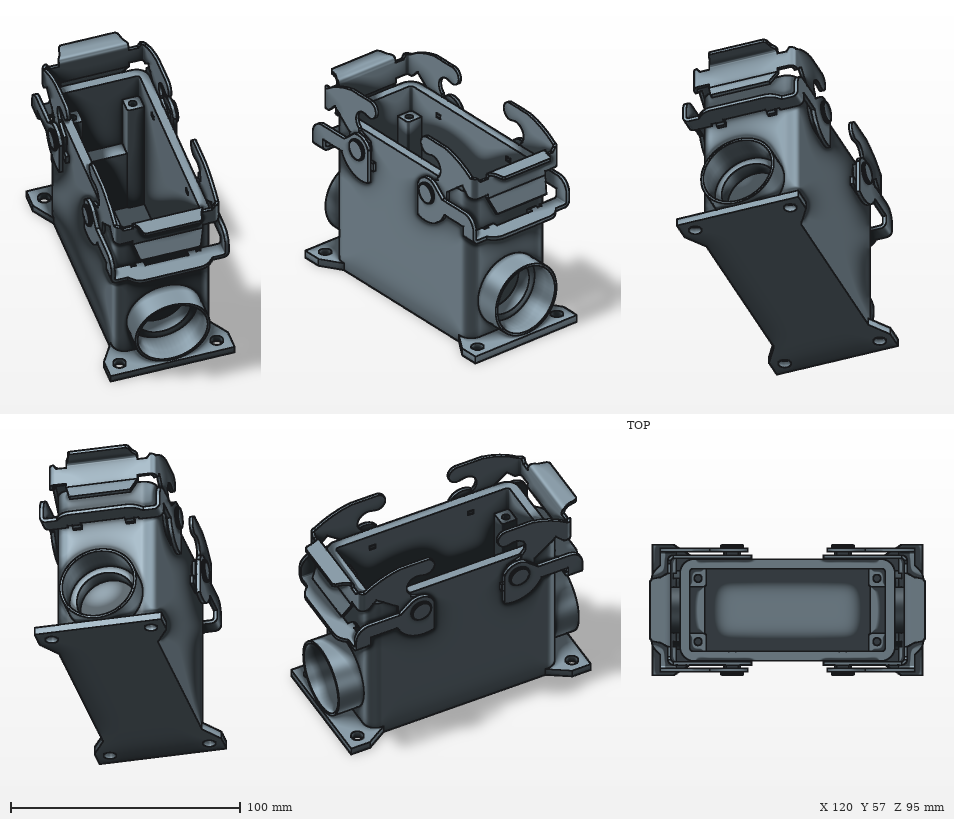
import cadquery as cq
import math

body_length = 93.6
body_width = 44.4
body_height = 77.3
body_corner_radius = 6.0
wall = 4.2
cavity_corner_radius = 1.4
floor_thickness = 3.5

foot_end = 58.9
foot_width = 57.0
foot_half_width = foot_width / 2
foot_thickness = floor_thickness
foot_taper_start = 49.7
foot_taper_end = 39.7
foot_hole_x = 52.7
foot_hole_y = 22.3
foot_hole_diameter = 5.6

entry_height = 21.8
entry_radius = 17.2
entry_bore_radius = 16.1
entry_ledge_x = 45.0
knockout_radius = 13.0
knockout_wall = 1.8
boss_inner_x = 36.0
boss_height = 37.2

post_inner_x = 35.4
post_inner_y = 10.2
post_height = 64.7
post_edge_radius = 1.2
post_hole_x = 39.0
post_hole_y = 13.8
post_hole_diameter = 3.4
post_hole_depth = 12.0

pin_x = 24.1
pin_z = 70.1
pin_head_radius = 4.9
pin_head_chamfer = 0.5
collar_radius = 3.6
collar_flat_height = 5.0
wall_pocket_length = 2.9
wall_pocket_height = 1.9
wall_pocket_depth = 0.5

hook_sheet = 1.4
hook_half_width = 24.0
hook_end = 52.3
hook_bend_radius = 2.8
hook_shoulder_x = 49.8
hook_top = 95.0
hook_end_top = 87.7
hook_end_bottom = 77.7
hook_notch_x = 44.1
hook_notch_top = 81.7
hook_stem_x = 33.5
hook_stem_top = 73.4
hook_crown_x = 32.4
hook_back_x = 43.8
hook_back_z = 91.3
hook_tip_radius = 4.2
hook_tip_x = 19.8
hook_mouth_x = 24.0
hook_mouth_z = 82.2
hook_mouth_radius = 5.3
hook_mouth_start_angle = 68
hook_mouth_end_angle = 232
hook_neck_z = 76.5
hook_stop_x = 17.3
hook_stop_height = 4.0

saddle_z = 85.7
saddle_top_half_width = 21.7
saddle_half_width = 20.3
flap_end = 60.0
flap_top = 89.0
flap_bend_radius = 2.9
flap_end_half_width = 12.6
flap_side_x = 59.0
flap_side_half_width = 13.5
flap_neck_x = 55.2
flap_neck_half_width = 14.4
flap_root_half_width = 16.0
spring_top = 75.8
spring_reach = 8.0
spring_angle = 28
spring_top_half_width = 16.1
spring_bottom_half_width = 13.5

yoke_sheet = 1.7
yoke_half_width = 27.0
yoke_bend_radius = 2.8
yoke_bottom = 57.7
yoke_arm_end = 55.5
yoke_arm_inner = 48.5
yoke_arm_top = 70.9
yoke_arm_bottom = 64.0
yoke_elbow_radius = 6.5
yoke_shoulder_x = 33.8
yoke_disc_radius = 7.1
yoke_disc_start_angle = 122
yoke_disc_end_angle = 18
yoke_plate_x = 17.3
yoke_plate_corner_z = 55.9
yoke_plate_low_x = 22.0
yoke_plate_low_z = 55.1
yoke_plate_root_x = 35.5
yoke_bar_end = 59.4
yoke_bar_start_y = 19.4
yoke_bar_full_y = 15.8
yoke_bar_corner_radius = 7.2
yoke_recess_x = 51.0
yoke_tab_inner_y = 10.0
yoke_tab_outer_y = 13.8
yoke_tab_end = 47.0
yoke_tab_bottom = 56.9
yoke_tab_sheet = 1.2
relief_width = 2.2
relief_depth = 1.4

reach = 120.0


def polar(center_x, center_z, radius, degrees):
    angle = math.radians(degrees)
    return center_x + radius * math.cos(angle), center_z + radius * math.sin(angle)


def slab_xz(outline):
    """Side outline carried through the full width of the part."""
    return outline.close().extrude(reach / 2, both=True)


def both_ends(solid):
    return solid.union(solid.mirror("YZ"))


def block(x_range, y_range, z_range):
    size = [high - low for low, high in (x_range, y_range, z_range)]
    corner = (x_range[0], y_range[0], z_range[0])
    return cq.Workplane("XY").box(*size, centered=False).translate(corner)


def end_cylinder(radius, x_start, x_end):
    """Cylinder on the cable entry axis of the -X end."""
    plane = cq.Workplane("YZ", origin=(x_start, 0, entry_height))
    return plane.circle(radius).extrude(x_end - x_start)


def make_foot():
    y_wall = body_width / 2
    half = [(-foot_end, foot_half_width), (-foot_taper_start, foot_half_width), (-foot_taper_end, y_wall)]
    outline = half + [(x, -y) for x, y in reversed(half)]
    foot = cq.Workplane("XY").polyline(outline).close().extrude(foot_thickness)
    holes = [(-foot_hole_x, -foot_hole_y), (-foot_hole_x, foot_hole_y)]
    return foot.faces(">Z").workplane(origin=(0, 0, 0)).pushPoints(holes).hole(foot_hole_diameter)


def make_posts():
    """Pair of posts at the -X end."""
    x_range = (-body_length / 2 + wall / 2, -post_inner_x)
    y_range = (post_inner_y, body_width / 2 - wall / 2)
    post = block(x_range, y_range, (0, post_height))
    post = post.edges("|Z and >X and <Y").fillet(post_edge_radius)
    hole_plane = cq.Workplane("XY", origin=(-post_hole_x, post_hole_y, post_height))
    post = post.cut(hole_plane.circle(post_hole_diameter / 2).extrude(-post_hole_depth))
    return post.union(post.mirror("XZ"))


def make_housing():
    shell = cq.Workplane("XY").rect(body_length, body_width).extrude(body_height)
    shell = shell.edges("|Z").fillet(body_corner_radius)
    cavity = cq.Workplane("XY", origin=(0, 0, floor_thickness))
    cavity = cavity.rect(body_length - 2 * wall, body_width - 2 * wall).extrude(body_height)
    shell = shell.cut(cavity.edges("|Z").fillet(cavity_corner_radius))

    wall_middle_x = (body_length - wall) / 2
    wall_middle_y = (body_width - wall) / 2
    additions = make_foot()
    additions = additions.union(end_cylinder(entry_radius, -foot_end, -wall_middle_x))
    additions = additions.union(
        block((-wall_middle_x, -boss_inner_x), (-wall_middle_y, wall_middle_y), (0, boss_height))
    )
    additions = additions.union(make_posts())
    housing = shell.union(both_ends(additions))

    bores = end_cylinder(entry_bore_radius, -foot_end, -entry_ledge_x)
    bores = bores.union(end_cylinder(knockout_radius, -foot_end, -boss_inner_x - knockout_wall))
    pocket_y = body_width / 2 - wall + wall_pocket_depth
    pockets = cq.Workplane("XY").box(wall_pocket_length, 2 * pocket_y, wall_pocket_height)
    pockets = pockets.translate((-pin_x, 0, pin_z))
    return housing.cut(both_ends(bores.union(pockets)))


def make_pin():
    """Pin on the +Y wall: a flatted collar and a chamfered round head."""
    y_inside = (body_width - wall) / 2
    collar = cq.Workplane("XZ").circle(collar_radius).extrude(-(yoke_half_width - y_inside))
    flats = cq.Workplane("XY").box(2 * collar_radius, reach, collar_flat_height)
    collar = collar.intersect(flats).translate((0, y_inside, 0))
    head = cq.Workplane("XZ").circle(pin_head_radius).extrude(-(foot_half_width - yoke_half_width))
    head = head.edges().chamfer(pin_head_chamfer).translate((0, yoke_half_width, 0))
    return collar.union(head).translate((-pin_x, 0, pin_z))


def hook_side_outline():
    tip_z = hook_top - hook_tip_radius
    mouth = (-hook_mouth_x, hook_mouth_z, hook_mouth_radius)
    mouth_start = polar(*mouth, hook_mouth_start_angle)
    mouth_middle = polar(*mouth, (hook_mouth_start_angle + hook_mouth_end_angle) / 2)
    mouth_end = polar(*mouth, hook_mouth_end_angle)
    stem_radius = hook_stem_x - pin_x
    stop_bottom = pin_z - stem_radius
    return (
        cq.Workplane("XZ")
        .moveTo(-hook_end, hook_end_bottom)
        .lineTo(-hook_end, hook_end_top)
        .lineTo(-hook_shoulder_x, hook_end_top)
        .threePointArc((-hook_back_x, hook_back_z), (-hook_crown_x, hook_top))
        .lineTo(-hook_tip_x, hook_top)
        .threePointArc((-hook_tip_x + hook_tip_radius, tip_z), (-hook_tip_x, tip_z - hook_tip_radius))
        .lineTo(*mouth_start)
        .threePointArc(mouth_middle, mouth_end)
        .lineTo(mouth_end[0], hook_neck_z)
        .lineTo(-pin_x + collar_radius, pin_z + collar_radius)
        .lineTo(-pin_x + collar_radius, stop_bottom + hook_stop_height)
        .lineTo(-hook_stop_x, stop_bottom + hook_stop_height)
        .lineTo(-hook_stop_x, stop_bottom)
        .lineTo(-pin_x, stop_bottom)
        .threePointArc(polar(-pin_x, pin_z, stem_radius, 225), (-hook_stem_x, pin_z))
        .lineTo(-hook_stem_x, hook_stem_top)
        .lineTo(-hook_notch_x, hook_notch_top)
        .lineTo(-hook_notch_x - (hook_notch_top - hook_end_bottom), hook_end_bottom)
    )


def make_hook_lever():
    sheet = block((-hook_end, 0), (-hook_half_width, hook_half_width), (0, reach))
    sheet = sheet.edges("|Z and <X").fillet(hook_bend_radius)
    inner_half_width = hook_half_width - hook_sheet
    inner = block((-hook_end + hook_sheet, 0), (-inner_half_width, inner_half_width), (0, reach))
    inner = inner.edges("|Z and <X").fillet(hook_bend_radius - hook_sheet)
    lever = sheet.cut(inner).intersect(slab_xz(hook_side_outline()))

    saddle = [
        (-saddle_top_half_width, hook_end_top),
        (-saddle_half_width, saddle_z),
        (saddle_half_width, saddle_z),
        (saddle_top_half_width, hook_end_top),
    ]
    saddle_cut = cq.Workplane("YZ", origin=(-hook_end, 0, 0)).polyline(saddle).close()
    lever = lever.cut(saddle_cut.extrude(hook_bend_radius))
    return lever.union(make_finger_flap()).union(make_spring_flap())


def make_finger_flap():
    """Flap rising from the end panel and bending outward at its top."""
    panel_inner = hook_end - hook_sheet
    bend_x = panel_inner + flap_bend_radius
    bend_z = flap_top - flap_bend_radius
    inner_radius = flap_bend_radius - hook_sheet
    profile = (
        cq.Workplane("XZ")
        .moveTo(-flap_end, flap_top)
        .lineTo(-bend_x, flap_top)
        .threePointArc(polar(-bend_x, bend_z, flap_bend_radius, 45), (-panel_inner, bend_z))
        .lineTo(-panel_inner, hook_end_bottom)
        .lineTo(-hook_end, hook_end_bottom)
        .lineTo(-hook_end, bend_z)
        .threePointArc(polar(-bend_x, bend_z, inner_radius, 45), (-bend_x, bend_z + inner_radius))
        .lineTo(-flap_end, flap_top - hook_sheet)
    )
    half = [
        (-flap_end, flap_end_half_width),
        (-flap_side_x, flap_side_half_width),
        (-flap_neck_x, flap_neck_half_width),
        (-hook_end, flap_root_half_width),
        (-panel_inner, flap_root_half_width),
    ]
    plan = half + [(x, -y) for x, y in reversed(half)]
    return slab_xz(profile).intersect(cq.Workplane("XY").polyline(plan).close().extrude(reach))


def make_spring_flap():
    """Flap hanging from the end panel, bent outward."""
    outer_end = polar(-hook_end, spring_top, spring_reach, -90 - spring_angle)
    inner_end = polar(*outer_end, hook_sheet, -spring_angle)
    inner_bend_z = spring_top - hook_sheet * math.tan(math.radians(spring_angle / 2))
    spring_bottom = inner_end[1]
    profile = [
        (-hook_end, hook_end_bottom),
        (-hook_end, spring_top),
        outer_end,
        inner_end,
        (-hook_end + hook_sheet, inner_bend_z),
        (-hook_end + hook_sheet, hook_end_bottom),
    ]
    flap = slab_xz(cq.Workplane("XZ").polyline(profile))
    face = [
        (-spring_bottom_half_width, spring_bottom),
        (-spring_top_half_width, spring_top),
        (-spring_top_half_width, hook_end_bottom),
        (spring_top_half_width, hook_end_bottom),
        (spring_top_half_width, spring_top),
        (spring_bottom_half_width, spring_bottom),
    ]
    outline = cq.Workplane("YZ").polyline(face).close().extrude(-reach)
    return flap.intersect(outline)


def yoke_side_outline():
    disc = (-pin_x, pin_z, yoke_disc_radius)
    disc_start = polar(*disc, yoke_disc_start_angle)
    disc_end = polar(*disc, yoke_disc_end_angle)
    elbow_x = yoke_elbow_radius - yoke_arm_end
    elbow_z = yoke_arm_top - yoke_elbow_radius
    return (
        cq.Workplane("XZ")
        .moveTo(-yoke_arm_end, yoke_bottom)
        .lineTo(-yoke_arm_end, elbow_z)
        .threePointArc(polar(elbow_x, elbow_z, yoke_elbow_radius, 135), (elbow_x, yoke_arm_top))
        .lineTo(-yoke_shoulder_x, yoke_arm_top)
        .lineTo(*disc_start)
        .threePointArc(polar(*disc, 90), disc_end)
        .lineTo(-yoke_plate_x, disc_end[1])
        .lineTo(-yoke_plate_x, yoke_plate_corner_z)
        .threePointArc((-yoke_plate_low_x, yoke_plate_low_z), (-yoke_plate_root_x, yoke_arm_bottom))
        .lineTo(-yoke_arm_inner, yoke_arm_bottom)
        .lineTo(-yoke_arm_inner, yoke_bottom)
    )


def make_yoke_bar():
    half = [
        (-yoke_arm_inner, yoke_bar_start_y),
        (-yoke_arm_end, yoke_bar_start_y),
        (-yoke_bar_end, yoke_bar_full_y),
    ]
    plan = half + [(x, -y) for x, y in reversed(half)]
    bar = cq.Workplane("XY", origin=(0, 0, yoke_bottom)).polyline(plan).close().extrude(yoke_sheet)
    return bar.edges("|Z and <X").fillet(yoke_bar_corner_radius)


def make_yoke_tabs():
    """Pair of tabs on the inner edge of the yoke bar, sloping down toward the housing."""
    bar_top = yoke_bottom + yoke_sheet
    profile = [
        (-yoke_arm_inner - yoke_tab_sheet, bar_top),
        (-yoke_arm_inner, bar_top),
        (-yoke_tab_end, yoke_tab_bottom + yoke_tab_sheet),
        (-yoke_tab_end, yoke_tab_bottom),
        (-yoke_arm_inner, yoke_tab_bottom),
        (-yoke_arm_inner - yoke_tab_sheet, yoke_bottom),
    ]
    width = yoke_tab_outer_y - yoke_tab_inner_y
    plane = cq.Workplane("XZ", origin=(0, yoke_tab_inner_y, 0))
    tab = plane.polyline(profile).close().extrude(-width)
    return tab.union(tab.mirror("XZ"))


def make_yoke():
    sheet = block((-reach, 0), (-yoke_half_width, yoke_half_width), (yoke_bottom, reach))
    sheet = sheet.edges("|X and <Z").fillet(yoke_bend_radius)
    inner_half_width = yoke_half_width - yoke_sheet
    inner = block((-reach, 0), (-inner_half_width, inner_half_width), (yoke_bottom + yoke_sheet, reach))
    inner = inner.edges("|X and <Z").fillet(yoke_bend_radius - yoke_sheet)
    bent_end = sheet.cut(inner).cut(block((-yoke_plate_root_x, 0), (-reach, reach), (0, reach)))
    plates = block((-yoke_plate_root_x, 0), (-yoke_half_width, yoke_half_width), (0, reach))
    plates = plates.cut(block((-reach, 0), (-inner_half_width, inner_half_width), (0, reach)))
    yoke = bent_end.union(plates).intersect(slab_xz(yoke_side_outline()))
    yoke = yoke.union(make_yoke_bar())

    recess = block(
        (-yoke_recess_x, 0), (-yoke_tab_inner_y, yoke_tab_inner_y), (0, yoke_bottom + yoke_sheet)
    )
    yoke = yoke.cut(recess)
    for side in (-1, 1):
        relief_y = side * (yoke_tab_outer_y + relief_width / 2)
        relief = cq.Workplane("XY").box(2 * relief_depth, relief_width, reach)
        yoke = yoke.cut(relief.translate((-yoke_arm_inner, relief_y, 0)))
    return yoke.union(make_yoke_tabs())


pins = make_pin()
pins = pins.union(pins.mirror("XZ"))
fittings = make_hook_lever().union(make_yoke()).union(pins)
result = make_housing().union(both_ends(fittings))